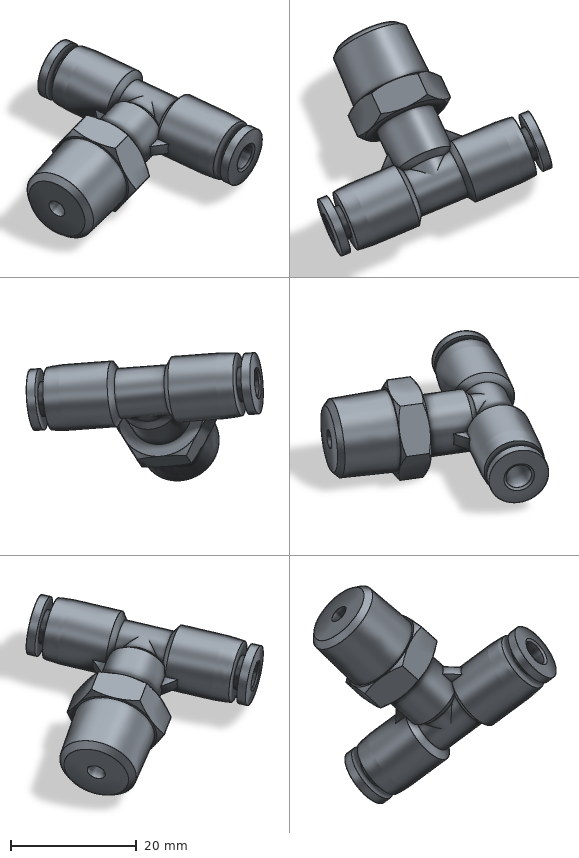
import cadquery as cq
import math


half_run = 18.45
sleeve_radius = 5.25
sleeve_nose_radius = 5.1
sleeve_end_radius = 5.0
end_edge_radius = 4.6
sleeve_inner_x = 4.95
sleeve_taper_x = 12.8
sleeve_nose_x = 14.85
sleeve_end_x = 15.6
end_edge_x = 15.5
waist_radius = 4.0
shoulder_length = 0.9
collar_radius = 4.9
collar_thickness = 1.45
collar_dish = 0.2
stem_radius = 2.8

bore_radius = 1.5
tube_radius = 2.1
tube_mouth_radius = 2.5
mouth_depth = 0.3
tube_depth = 12.0

branch_radius = 5.0
branch_cone_start = 3.0
hex_across_flats = 14.0
hex_start = 11.5
hex_height = 5.0
hex_bevel_angle = 30.0
branch_end = 26.5
thread_root_radius = 6.65
thread_taper = 1 / 32
thread_bevel_length = 0.95
thread_bevel_depth = 1.0

gusset_reach = 12.25
gusset_width = 2.0


def revolve_about_x(profile):
    return cq.Workplane("XY").polyline(profile).close().revolve(360, (0, 0, 0), (1, 0, 0))


def revolve_about_y(profile):
    return cq.Workplane("XY").polyline(profile).close().revolve(360, (0, 0, 0), (0, 1, 0))


def make_half_run():
    """Half of the run, from the centre to the +X collar."""
    waist_x = sleeve_inner_x - shoulder_length
    collar_edge_x = half_run - collar_dish
    collar_inner_x = collar_edge_x - collar_thickness
    return revolve_about_x([
        (0, 0),
        (0, waist_radius),
        (waist_x, waist_radius),
        (sleeve_inner_x, sleeve_radius),
        (sleeve_taper_x, sleeve_radius),
        (sleeve_nose_x, sleeve_nose_radius),
        (end_edge_x, sleeve_end_radius),
        (sleeve_end_x, end_edge_radius),
        (sleeve_end_x, stem_radius),
        (collar_inner_x, stem_radius),
        (collar_inner_x, collar_radius),
        (collar_edge_x, collar_radius),
        (half_run, tube_mouth_radius),
        (half_run, 0),
    ])


def make_branch():
    """Branch neck and tapered thread; the neck starts as thick as the run's waist."""
    cone_end = branch_cone_start + branch_radius - waist_radius
    thread_start = hex_start + hex_height
    bevel_start = branch_end - thread_bevel_length
    thread_end_radius = thread_root_radius - thread_taper * (bevel_start - thread_start)
    return revolve_about_y([
        (0, 0),
        (waist_radius, 0),
        (waist_radius, -branch_cone_start),
        (branch_radius, -cone_end),
        (branch_radius, -thread_start),
        (thread_root_radius, -thread_start),
        (thread_end_radius, -bevel_start),
        (thread_end_radius - thread_bevel_depth, -branch_end),
        (0, -branch_end),
    ])


def make_hexagon():
    """Wrench hexagon with corners on X, bevelled at both ends."""
    flat_radius = hex_across_flats / 2
    corner_radius = flat_radius / math.cos(math.pi / 6)
    bevel_height = (corner_radius - flat_radius) * math.tan(math.radians(hex_bevel_angle))
    hex_end = hex_start + hex_height
    prism = (
        cq.Workplane("XZ", origin=(0, -hex_start, 0))
        .polygon(6, 2 * corner_radius)
        .extrude(hex_height)
    )
    envelope = revolve_about_y([
        (0, -hex_start),
        (flat_radius, -hex_start),
        (corner_radius, -hex_start - bevel_height),
        (corner_radius, -hex_end + bevel_height),
        (flat_radius, -hex_end),
        (0, -hex_end),
    ])
    return prism.intersect(envelope)


def make_gussets():
    """Both gussets as one triangular plate whose middle lies inside the tee."""
    return (
        cq.Workplane("XY")
        .polyline([(-gusset_reach, 0), (gusset_reach, 0), (0, -gusset_reach)])
        .close()
        .extrude(gusset_width / 2, both=True)
    )


def make_half_run_bore():
    """Passage and wider tube socket of the +X half, with a bevelled mouth."""
    socket_x = half_run - tube_depth
    return revolve_about_x([
        (0, 0),
        (0, bore_radius),
        (socket_x, bore_radius),
        (socket_x, tube_radius),
        (half_run - mouth_depth, tube_radius),
        (half_run, tube_mouth_radius),
        (half_run, 0),
    ])


def make_branch_bore():
    return cq.Workplane("XZ").circle(bore_radius).extrude(branch_end)


half_tee = make_half_run()
half_bore = make_half_run_bore()
body = half_tee.union(half_tee.mirror("YZ"))
body = body.union(make_branch()).union(make_hexagon()).union(make_gussets())
bores = half_bore.union(half_bore.mirror("YZ")).union(make_branch_bore())
result = body.cut(bores)